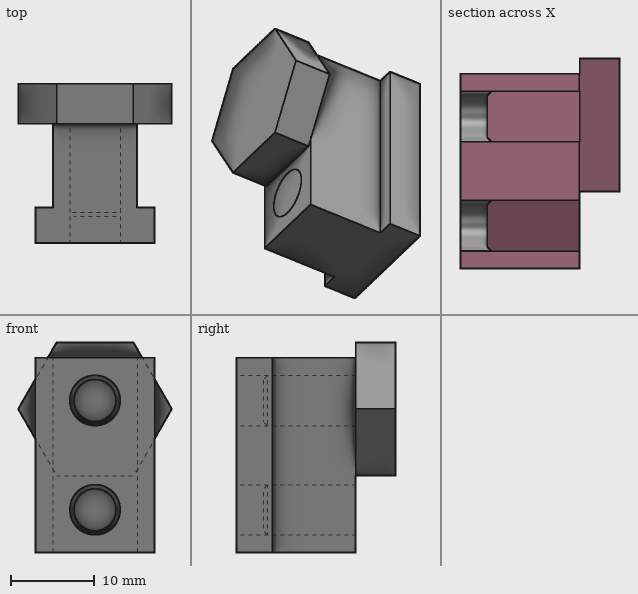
import cadquery as cq
import math

block_height = 23.2
flange_width = 14.2
flange_depth = 4.28
stem_width = 10.0
stem_depth = 9.93
block_depth = flange_depth + stem_depth

hole_diameter = 6.0
hole_spacing = 13.0
pin_recess = 3.2
pin_chamfer = 0.5
hole_heights = [block_height / 2 - hole_spacing / 2, block_height / 2 + hole_spacing / 2]

hex_corners = 18.31
hex_thickness = 4.78
top_height = 25.02
hex_flats = hex_corners * math.cos(math.radians(30))
hex_center_height = top_height - hex_flats / 2


def cylinder_along_y(diameter, start, end, height):
    """Solid cylinder on the X = 0 plane, running from Y = start to Y = end."""
    return (
        cq.Workplane("XZ", origin=(0, start, height))
        .circle(diameter / 2)
        .extrude(start - end)
    )


def make_block():
    """T-shaped block with its two through holes."""
    flange = cq.Workplane("XY").box(
        flange_width, flange_depth, block_height, centered=(True, False, False)
    )
    stem = (
        cq.Workplane("XY", origin=(0, flange_depth, 0))
        .box(stem_width, stem_depth, block_height, centered=(True, False, False))
    )
    block = flange.union(stem)
    for height in hole_heights:
        block = block.cut(cylinder_along_y(hole_diameter, 0, block_depth, height))
    return block


def make_pin(height):
    """Pin filling the rear of a hole, chamfered on its front end."""
    pin = cylinder_along_y(hole_diameter, pin_recess, block_depth, height)
    return pin.faces("<Y").chamfer(pin_chamfer)


def make_hex_head():
    """Hexagonal prism behind the stem."""
    return (
        cq.Workplane("XZ", origin=(0, block_depth, hex_center_height))
        .polygon(6, hex_corners)
        .extrude(-hex_thickness)
    )


block = make_block()
hex_head = make_hex_head()
pins = [make_pin(height) for height in hole_heights]

result = cq.Compound.makeCompound(
    [block.val(), hex_head.val(), *[pin.val() for pin in pins]]
)